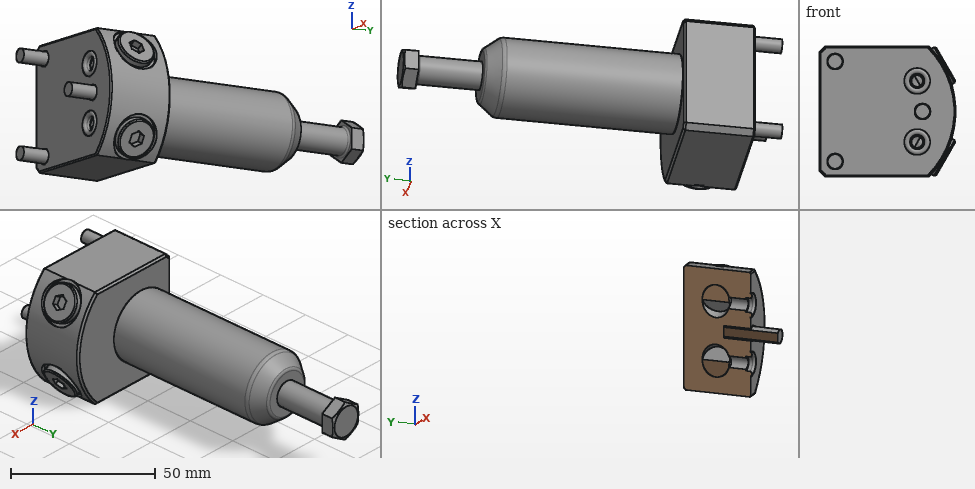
import cadquery as cq
import math


TOTAL_LENGTH = 131.9

BLOCK_LEFT_X = -15.3
BLOCK_HEIGHT = 45.0
BLOCK_LENGTH = 25.0
NOSE_RADIUS = 31.8
CORNER_CHAMFER = 2.0
FRONT_CHAMFER = 0.5
BACK_CHAMFER = 0.8

PIN_RADIUS = 2.5
PIN_PROJECTION = 10.0
PIN_DEPTH = 10.0
PIN_HOLE_RADIUS = 2.8
CORNER_PIN_X = -9.9
CORNER_PIN_Z = 17.3
NOSE_PIN_X = 20.3

PORT_X = 18.5
PORT_Z = 10.5
PORT_RADIUS = 2.0
LIP_INNER_RADIUS = 2.5
LIP_OUTER_RADIUS = 4.5
LIP_PROJECTION = 0.46
LIP_POCKET_DEPTH = 1.8

PLUG_ANGLE = 30.0
PLUG_SETBACK = 13.0
PLUG_FACE_DISTANCE = 32.7
PLUG_END_DISTANCE = 21.4
PLUG_HEAD_RADIUS = 7.1
PLUG_HEAD_CHAMFER = 0.5
PLUG_SHANK_RADIUS = 5.0
SEAT_RADIUS = 8.5
SEAT_DISTANCE = 30.1
CHANNEL_END_DISTANCE = 18.5
SOCKET_WIDTH = 5.0
SOCKET_DEPTH = 2.6

BARREL_RADIUS = 14.0
BARREL_LENGTH = 68.9
BARREL_END_RADIUS = 9.4
CONE_LENGTH = 6.1
SHOULDER_FILLET = 2.5
BARREL_END_FILLET = 1.5
BARREL_BASE_CHAMFER = 0.3

BOLT_SHANK_RADIUS = 5.0
BOLT_DEPTH = 19.8
HEAD_WIDTH = 13.0
HEAD_LENGTH = 5.3
HEAD_TOP_RADIUS = 6.0
HEAD_CHAMFER_ANGLE = 20.0
UNDERHEAD_FILLET = 0.7

FRONT_Y = PIN_PROJECTION
BACK_Y = FRONT_Y + BLOCK_LENGTH
PIN_END_Y = FRONT_Y + PIN_DEPTH
PLUG_Y = FRONT_Y + PLUG_SETBACK
BARREL_END_Y = BACK_Y + BARREL_LENGTH
SHOULDER_Y = BARREL_END_Y - CONE_LENGTH
HEAD_Y = TOTAL_LENGTH - HEAD_LENGTH

SIDES = (1, -1)
PIN_PLACES = [
    (CORNER_PIN_X, CORNER_PIN_Z),
    (CORNER_PIN_X, -CORNER_PIN_Z),
    (NOSE_PIN_X, 0),
]


def bar_along_y(x, z, radius, start_y, end_y):
    """A round bar parallel to the Y axis."""
    return cq.Workplane("XZ", origin=(x, start_y, z)).circle(radius).extrude(start_y - end_y)


def plug_plane(side, distance):
    """A plane across the plug axis, facing outwards; side is +1 for the upper plug, -1 for the lower."""
    angle = math.radians(side * PLUG_ANGLE)
    outward = cq.Vector(math.cos(angle), 0, math.sin(angle))
    center = outward * distance + cq.Vector(0, PLUG_Y, 0)
    return cq.Workplane(cq.Plane(origin=center, xDir=(0, 1, 0), normal=outward))


def plug_bar(side, radius, start, end):
    """A round bar on the plug axis."""
    return plug_plane(side, start).circle(radius).extrude(end - start)


def block_body():
    """The block: flat on three sides, with a round nose about the Y axis on +X."""
    half_height = BLOCK_HEIGHT / 2
    nose_start_x = math.sqrt(NOSE_RADIUS**2 - half_height**2)
    return (
        cq.Workplane("XZ", origin=(0, BACK_Y, 0))
        .moveTo(BLOCK_LEFT_X + CORNER_CHAMFER, -half_height)
        .lineTo(nose_start_x, -half_height)
        .threePointArc((NOSE_RADIUS, 0), (nose_start_x, half_height))
        .lineTo(BLOCK_LEFT_X + CORNER_CHAMFER, half_height)
        .lineTo(BLOCK_LEFT_X, half_height - CORNER_CHAMFER)
        .lineTo(BLOCK_LEFT_X, CORNER_CHAMFER - half_height)
        .close()
        .extrude(BLOCK_LENGTH)
        .faces("<Y")
        .chamfer(FRONT_CHAMFER)
        .faces(">Y")
        .chamfer(BACK_CHAMFER)
    )


def sealing_lip(side):
    """A domed ring that fills the pocket around a port and stands slightly out of the front face."""
    dome_radius = (LIP_OUTER_RADIUS - LIP_INNER_RADIUS) / 2
    crest_radius = (LIP_OUTER_RADIUS + LIP_INNER_RADIUS) / 2
    crest_y = FRONT_Y - LIP_PROJECTION
    dome_base_y = crest_y + dome_radius
    floor_y = FRONT_Y + LIP_POCKET_DEPTH
    return (
        cq.Workplane("XY", origin=(PORT_X, 0, side * PORT_Z))
        .moveTo(LIP_INNER_RADIUS, floor_y)
        .lineTo(LIP_INNER_RADIUS, dome_base_y)
        .threePointArc((crest_radius, crest_y), (LIP_OUTER_RADIUS, dome_base_y))
        .lineTo(LIP_OUTER_RADIUS, floor_y)
        .close()
        .revolve(360, (0, 0), (0, 1))
    )


def make_block():
    block = block_body()
    for side in SIDES:
        seat = plug_bar(side, SEAT_RADIUS, SEAT_DISTANCE, PLUG_FACE_DISTANCE)
        channel = plug_bar(side, PLUG_SHANK_RADIUS, CHANNEL_END_DISTANCE, SEAT_DISTANCE)
        pocket = bar_along_y(PORT_X, side * PORT_Z, LIP_OUTER_RADIUS, FRONT_Y, FRONT_Y + LIP_POCKET_DEPTH)
        port = bar_along_y(PORT_X, side * PORT_Z, PORT_RADIUS, FRONT_Y, PLUG_Y)
        block = block.cut(seat).cut(channel).cut(pocket).cut(port)
        block = block.union(sealing_lip(side))
    for x, z in PIN_PLACES:
        block = block.cut(bar_along_y(x, z, PIN_HOLE_RADIUS, FRONT_Y, PIN_END_Y))
    return block


def make_pin(x, z):
    return bar_along_y(x, z, PIN_RADIUS, 0, PIN_END_Y)


def make_plug(side):
    """A screw plug with a chamfered round head and a hexagon socket."""
    head = plug_bar(side, PLUG_HEAD_RADIUS, SEAT_DISTANCE, PLUG_FACE_DISTANCE)
    head = head.faces(">X").chamfer(PLUG_HEAD_CHAMFER)
    shank = plug_bar(side, PLUG_SHANK_RADIUS, PLUG_END_DISTANCE, SEAT_DISTANCE)
    socket = (
        plug_plane(side, PLUG_FACE_DISTANCE)
        .polygon(6, SOCKET_WIDTH, circumscribed=True)
        .extrude(-SOCKET_DEPTH)
    )
    return head.union(shank).cut(socket)


def make_bolt():
    """A hexagon bolt whose plain shank runs into the barrel."""
    shank = bar_along_y(0, 0, BOLT_SHANK_RADIUS, BARREL_END_Y - BOLT_DEPTH, HEAD_Y)
    hexagon = (
        cq.Workplane("XZ", origin=(0, HEAD_Y, 0))
        .polygon(6, HEAD_WIDTH, circumscribed=True)
        .extrude(-HEAD_LENGTH)
    )
    cone_radius = HEAD_WIDTH
    cone_drop = (cone_radius - HEAD_TOP_RADIUS) * math.tan(math.radians(HEAD_CHAMFER_ANGLE))
    cone = (
        cq.Workplane("XY")
        .moveTo(0, HEAD_Y)
        .lineTo(cone_radius, HEAD_Y)
        .lineTo(cone_radius, TOTAL_LENGTH - cone_drop)
        .lineTo(HEAD_TOP_RADIUS, TOTAL_LENGTH)
        .lineTo(0, TOTAL_LENGTH)
        .close()
        .revolve(360, (0, 0), (0, 1))
    )
    bolt = shank.union(hexagon.intersect(cone))
    underhead_edge = cq.selectors.NearestToPointSelector((0, HEAD_Y, 0))
    return bolt.edges("%CIRCLE").edges(underhead_edge).fillet(UNDERHEAD_FILLET)


def make_barrel(bolt):
    """A round barrel with a rounded conical end, bored to fit the bolt."""
    barrel = (
        cq.Workplane("XY")
        .moveTo(0, BACK_Y)
        .lineTo(BARREL_RADIUS, BACK_Y)
        .lineTo(BARREL_RADIUS, SHOULDER_Y)
        .lineTo(BARREL_END_RADIUS, BARREL_END_Y)
        .lineTo(0, BARREL_END_Y)
        .close()
        .revolve(360, (0, 0), (0, 1))
    )
    shoulder_edge = cq.selectors.NearestToPointSelector((0, SHOULDER_Y, 0))
    barrel = barrel.edges("%CIRCLE").edges(shoulder_edge).fillet(SHOULDER_FILLET)
    barrel = barrel.faces(">Y").edges().fillet(BARREL_END_FILLET)
    barrel = barrel.faces("<Y").edges().chamfer(BARREL_BASE_CHAMFER)
    return barrel.cut(bolt)


block = make_block()
bolt = make_bolt()
barrel = make_barrel(bolt)
pins = [make_pin(x, z) for x, z in PIN_PLACES]
plugs = [make_plug(side) for side in SIDES]

bodies = [block, barrel, bolt, *pins, *plugs]
result = cq.Compound.makeCompound([body.val() for body in bodies])